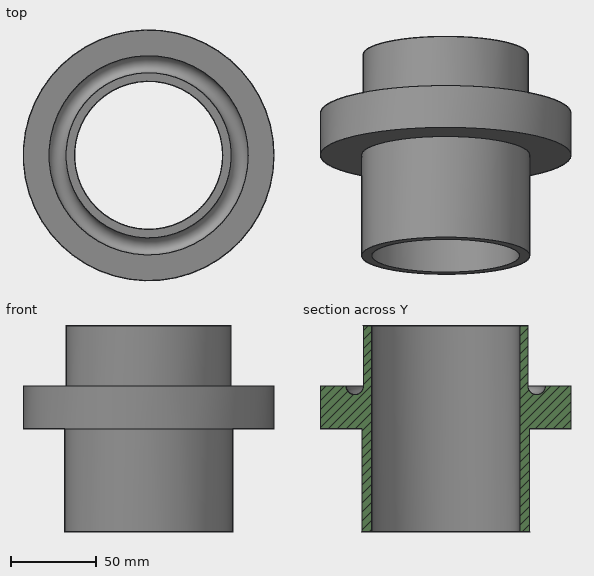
import cadquery as cq

lower_tube_height = 60.0
flange_height = 25.0
upper_tube_height = 35.0

flange_diameter = 146.0
lower_tube_diameter = 98.0
upper_tube_diameter = 96.0
bore_diameter = 86.0
groove_outer_diameter = 115.9

flange_top = lower_tube_height + flange_height
total_height = flange_top + upper_tube_height


def cylinder(diameter, height, base_z):
    """Upright cylinder on the Z axis, starting at base_z."""
    return cq.Workplane("XY").workplane(offset=base_z).circle(diameter / 2).extrude(height)


def groove_ring():
    """Ring of round section that cuts a half-round groove around the upper tube."""
    groove_radius = (groove_outer_diameter - upper_tube_diameter) / 4
    center_radius = upper_tube_diameter / 2 + groove_radius
    return (
        cq.Workplane("XZ")
        .center(center_radius, flange_top)
        .circle(groove_radius)
        .revolve(360, (-center_radius, 0), (-center_radius, 1))
    )


lower_tube = cylinder(lower_tube_diameter, lower_tube_height, 0)
flange = cylinder(flange_diameter, flange_height, lower_tube_height).cut(groove_ring())
upper_tube = cylinder(upper_tube_diameter, upper_tube_height, flange_top)
bore = cylinder(bore_diameter, total_height, 0)

result = lower_tube.union(flange).union(upper_tube).cut(bore)